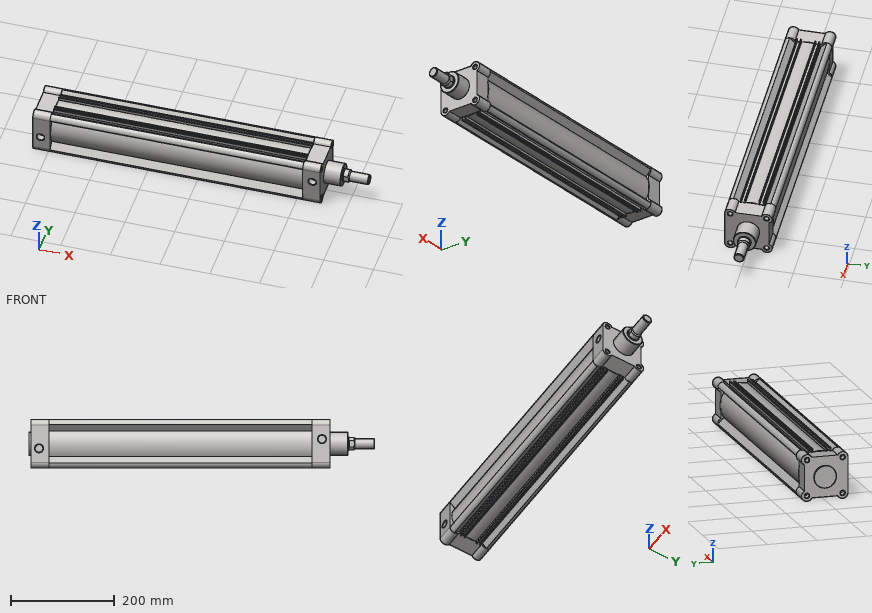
import cadquery as cq

body_length = 578.0
cap_length = 35.0
spigot_length = 4.0
rod_shoulder_reach = 45.6
thread_length = 40.4

barrel_length = body_length - 2 * cap_length
barrel_start = cap_length
front_cap_start = barrel_start + barrel_length
rod_end = body_length + rod_shoulder_reach + thread_length

section_width = 94.0
half_width = section_width / 2
lug_radius = 11.0
lug_offset = half_width - lug_radius

cap_recess = 6.0
cap_half_height = half_width - cap_recess
screw_hole_diameter = 8.5
screw_hole_depth = 16.0
screw_mouth_diameter = 11.0
screw_mouth_depth = (screw_mouth_diameter - screw_hole_diameter) / 2
port_diameter = 15.0
port_mouth_diameter = 17.0
port_mouth_depth = (port_mouth_diameter - port_diameter) / 2
port_depth = 14.0
port_face_distance = 15.8
port_height = 9.0
collar_diameter = 44.8
collar_length = 34.0
collar_chamfer = 1.0
wiper_lip_diameter = 26.5
wiper_lip_length = 2.0

barrel_core_radius = 42.8
corner_arm_width = 14.2
slot_position = 18.1
slot_opening = 6.0
slot_rail_width = 10.0
slot_wall = 1.2
slot_lip_thickness = 2.0
slot_floor_height = 39.0

rod_diameter = 25.0
flat_width = 22.0
flat_length = 8.6
thread_diameter = 20.0
thread_chamfer = 1.5


def bar(diameter, start, length):
    """Round bar along X."""
    return cq.Workplane("YZ", origin=(start, 0, 0)).circle(diameter / 2).extrude(length)


def block(start, length, y_min, y_max, z_min, z_max):
    """Rectangular block along X."""
    corner = (start, y_min, z_min)
    return cq.Workplane("XY").box(length, y_max - y_min, z_max - z_min, centered=False).translate(corner)


def corner_bars(diameter, start, length):
    """One round bar at each of the four lug centres."""
    spacing = 2 * lug_offset
    plane = cq.Workplane("YZ", origin=(start, 0, 0))
    return plane.rarray(spacing, spacing, 2, 2).circle(diameter / 2).extrude(length)


def cone(start_diameter, end_diameter, length, start, direction):
    """Cone frustum from a start point along a direction."""
    solid = cq.Solid.makeCone(
        start_diameter / 2, end_diameter / 2, length, pnt=cq.Vector(*start), dir=cq.Vector(*direction)
    )
    return cq.Workplane(solid)


def make_cap(start, outer_face, inward, port_z):
    """End cap: core block flush on the -Y side, four lugs, screw holes and a side port."""
    core = block(start, cap_length, -lug_offset, cap_half_height, -cap_half_height, cap_half_height)
    port_side = block(start, cap_length, -half_width, 0, -lug_offset, lug_offset)
    cap = core.union(port_side).union(corner_bars(2 * lug_radius, start, cap_length))

    cap = cap.cut(corner_bars(screw_hole_diameter, outer_face, inward * screw_hole_depth))
    for y in (-lug_offset, lug_offset):
        for z in (-lug_offset, lug_offset):
            cap = cap.cut(cone(
                screw_mouth_diameter,
                screw_hole_diameter,
                screw_mouth_depth,
                (outer_face, y, z),
                (inward, 0, 0),
            ))

    port_center = (outer_face + inward * port_face_distance, -half_width, port_z)
    port = cq.Workplane("XZ", origin=port_center).circle(port_diameter / 2).extrude(-port_depth)
    port_mouth = cone(port_mouth_diameter, port_diameter, port_mouth_depth, port_center, (0, 1, 0))
    return cap.cut(port).cut(port_mouth)


def make_rear_cap():
    cap = make_cap(0, 0, 1, -port_height)
    return cap.union(bar(collar_diameter, -spigot_length, spigot_length))


def make_front_cap():
    cap = make_cap(front_cap_start, body_length, -1, port_height)
    collar = bar(collar_diameter, body_length, collar_length).faces(">X").edges().chamfer(collar_chamfer)
    wiper_lip = bar(wiper_lip_diameter, body_length + collar_length, wiper_lip_length)
    rod_bore = bar(rod_diameter, front_cap_start, cap_length + collar_length + wiper_lip_length)
    return cap.union(collar).union(wiper_lip).cut(rod_bore)


def slot_cavity(y_center, side):
    """Full-height clearing inside a sensor slot, down to its floor."""
    half_cavity = slot_rail_width / 2 - slot_wall
    z_limits = sorted((side * slot_floor_height, side * half_width))
    return block(barrel_start, barrel_length, y_center - half_cavity, y_center + half_cavity, *z_limits)


def slot_rail(y_center, side):
    """Undercut sensor slot standing on the top (side = 1) or bottom (side = -1) of the barrel."""
    half_rail = slot_rail_width / 2
    half_cavity = half_rail - slot_wall
    half_opening = slot_opening / 2
    lip_bottom = half_width - slot_lip_thickness
    outline = [
        (-half_rail, 0),
        (-half_rail, half_width),
        (-half_opening, half_width),
        (-half_opening, lip_bottom),
        (-half_cavity, lip_bottom),
        (-half_cavity, slot_floor_height),
        (half_cavity, slot_floor_height),
        (half_cavity, lip_bottom),
        (half_opening, lip_bottom),
        (half_opening, half_width),
        (half_rail, half_width),
        (half_rail, 0),
    ]
    points = [(y_center + y, side * z) for y, z in outline]
    return cq.Workplane("YZ", origin=(barrel_start, 0, 0)).polyline(points).close().extrude(barrel_length)


def make_barrel():
    """Round core with four diagonal corner arms and two sensor slots each on top and bottom."""
    plane = cq.Workplane("YZ", origin=(barrel_start, 0, 0))
    arms = plane.rect(2 * section_width, corner_arm_width).extrude(barrel_length)
    arms = arms.union(arms.rotate((0, 0, 0), (1, 0, 0), 90)).rotate((0, 0, 0), (1, 0, 0), 45)
    envelope = plane.rect(section_width, section_width).extrude(barrel_length)
    envelope = envelope.edges("|X").fillet(lug_radius)
    barrel = bar(2 * barrel_core_radius, barrel_start, barrel_length).union(arms.intersect(envelope))

    for y_center in (-slot_position, slot_position):
        for side in (-1, 1):
            barrel = barrel.cut(slot_cavity(y_center, side)).union(slot_rail(y_center, side))
    return barrel


def make_piston_rod():
    """Rod through the front cap, with wrench flats and a plain shank for the thread."""
    shoulder_x = body_length + rod_shoulder_reach
    rod = bar(rod_diameter, front_cap_start, shoulder_x - front_cap_start)
    cone_length = (rod_diameter - thread_diameter) / 2
    rod = rod.union(cone(rod_diameter, thread_diameter, cone_length, (shoulder_x, 0, 0), (1, 0, 0)))
    for side in (-1, 1):
        y_limits = sorted((side * flat_width / 2, side * rod_diameter / 2))
        rod = rod.cut(block(
            shoulder_x - flat_length,
            flat_length + cone_length,
            *y_limits,
            -rod_diameter / 2,
            rod_diameter / 2,
        ))
    shank = bar(thread_diameter, shoulder_x, rod_end - shoulder_x).faces(">X").edges().chamfer(thread_chamfer)
    return rod.union(shank)


rear_cap = make_rear_cap()
barrel = make_barrel()
front_cap = make_front_cap()
piston_rod = make_piston_rod()

result = cq.Compound.makeCompound([rear_cap.val(), barrel.val(), front_cap.val(), piston_rod.val()])